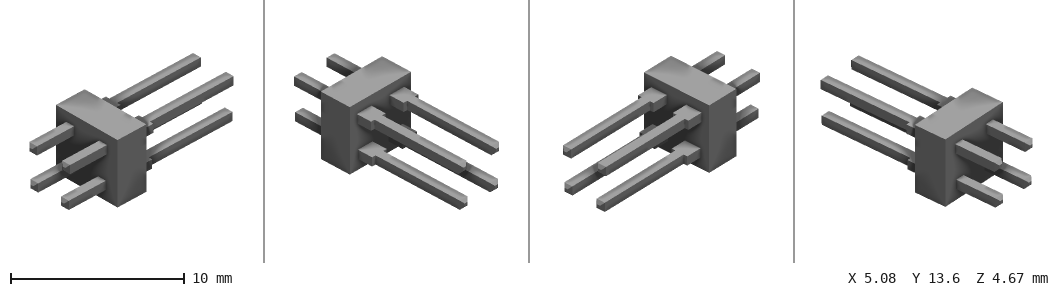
import cadquery as cq

body_width = 5.08
body_depth = 2.32
body_height = 4.67

pin_length = 13.55
pin_side = 0.64
front_reach = 3.17
tip_length = 0.19
tip_side = 0.23

shoulder_width = 1.2
shoulder_length = 1.14

row_height = 1.26
upper_spread = 1.35
lower_spread = 1.26

front_end = -pin_length / 2
body_front = front_end + front_reach
body_back = body_front + body_depth


def block(width, length, height, start_y):
    """Box centred on X and Z that extends toward +Y from start_y."""
    return cq.Workplane("XY").box(width, length, height, centered=(True, False, True)).translate((0, start_y, 0))


def tapered_tip():
    """Pyramid frustum that closes the front end of a pin."""
    return (
        cq.Workplane("XZ", origin=(0, front_end + tip_length, 0))
        .rect(pin_side, pin_side)
        .workplane(offset=tip_length)
        .rect(tip_side, tip_side)
        .loft(ruled=True)
    )


def make_pin():
    shaft = block(pin_side, pin_length - 2 * tip_length, pin_side, front_end + tip_length)
    shoulder = block(shoulder_width, shoulder_length, pin_side, body_back)
    front_tip = tapered_tip()
    back_tip = front_tip.mirror("XZ")
    return shaft.union(shoulder).union(front_tip).union(back_tip)


result = block(body_width, body_depth, body_height, body_front)
pin = make_pin()
for spread, z in ((upper_spread, row_height), (lower_spread, -row_height)):
    for x in (-spread, spread):
        result = result.union(pin.translate((x, 0, z)))